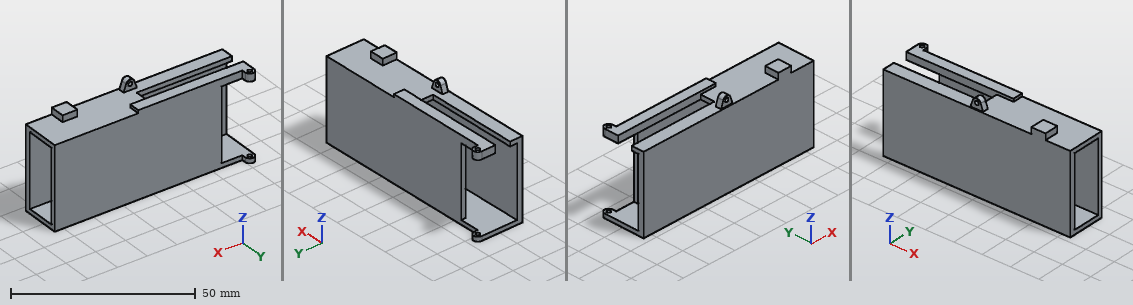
import cadquery as cq
import math

length = 66.0
depth = 13.4
height = 27.65
plate = 1.6
front_wall = 2.0
back_wall = 1.5
back_wall_start = 9.9

slot_length = 32.0
slot_front = 4.5
slot_back = 9.7

rail_length = 37.95
rail_rise = 1.0

ear_radius = 1.5
ear_tip = 16.25
pin_hole = 1.3

lug_x = 32.7
lug_half_base = 2.25
lug_radius = 1.45
lug_rise = 3.4
lug_front = 0.4
lug_thickness = 2.05

block_x = 52.3
block_side = 5.0
block_rise = 2.2

roof_underside = height - plate


def box(x, y, z, dx, dy, dz):
    """Box with its lowest corner at (x, y, z)."""
    return cq.Workplane("XY").box(dx, dy, dz, centered=False).translate((x, y, z))


def hinge_ear(bottom, thickness):
    """Round-ended ear with a vertical pin hole, behind the back edge."""
    center_y = ear_tip - ear_radius
    return (
        cq.Workplane("XY", origin=(0, 0, bottom))
        .moveTo(0, depth - back_wall)
        .lineTo(2 * ear_radius, depth - back_wall)
        .lineTo(2 * ear_radius, center_y)
        .threePointArc((ear_radius, ear_tip), (0, center_y))
        .close()
        .moveTo(ear_radius, center_y)
        .circle(pin_hole / 2)
        .extrude(thickness)
    )


def lug():
    """Tapered upright lug: sloped sides tangent to a round top."""
    center_rise = lug_rise - lug_radius
    to_center = math.hypot(lug_half_base, center_rise)
    tangent_angle = math.acos(lug_radius / to_center) - math.atan2(center_rise, lug_half_base)
    tangent_x = lug_radius * math.cos(tangent_angle)
    tangent_rise = center_rise + lug_radius * math.sin(tangent_angle)
    return (
        cq.Workplane("XZ", origin=(lug_x, lug_front, height))
        .moveTo(-lug_half_base, 0)
        .lineTo(lug_half_base, 0)
        .lineTo(tangent_x, tangent_rise)
        .threePointArc((0, lug_rise), (-tangent_x, tangent_rise))
        .close()
        .moveTo(0, center_rise)
        .circle(pin_hole / 2)
        .extrude(-lug_thickness)
    )


inner_depth = depth - front_wall - back_wall
case = box(0, 0, 0, length, depth, height)
case = case.cut(box(0, front_wall, plate, length, inner_depth, height - 2 * plate))

case = case.cut(box(0, depth - back_wall, plate, back_wall_start, back_wall, height - 2 * plate))
case = case.cut(box(0, slot_front, roof_underside, slot_length, slot_back - slot_front, plate))

case = case.union(box(0, slot_back, roof_underside, rail_length, depth - slot_back, plate + rail_rise))
case = case.union(box(block_x, 0, height, block_side, block_side, block_rise))

case = case.union(hinge_ear(0, plate))
case = case.union(hinge_ear(roof_underside, plate + rail_rise))
result = case.union(lug())